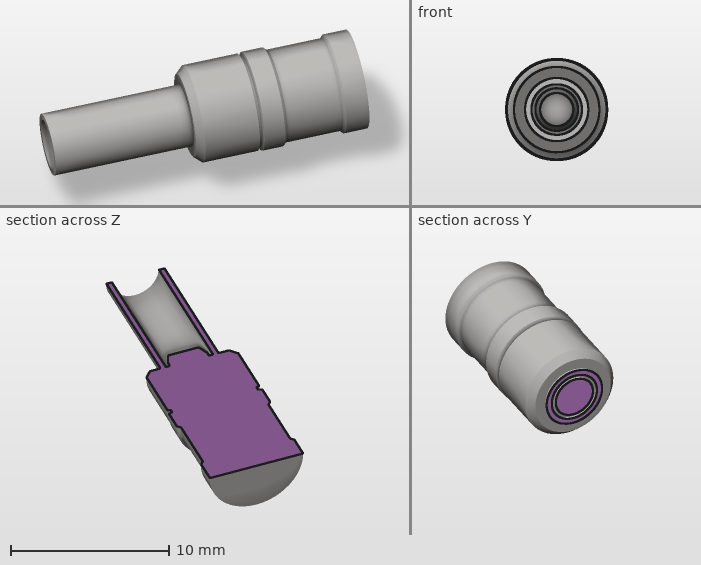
import cadquery as cq


total_length = 20.2
tube_length = 9.0
body_length = total_length - tube_length

collar_radius = 3.2
neck_radius = 3.0
groove_radius = 2.95
sleeve_radius = 3.15
nose_radius = 2.7
tube_radius = 2.0
bore_radius = 1.6
pin_radius = 1.35
pin_tip_radius = 1.05

neck_ramp_length = 0.2
groove_ramp_length = 0.1
nose_chamfer_length = 0.5
pin_taper_length = 0.7

rear_collar_width = 1.5
neck_start = rear_collar_width + neck_ramp_length
middle_collar_start = 5.5
neck_end = middle_collar_start - neck_ramp_length
middle_collar_end = 6.85
groove_start = middle_collar_end + groove_ramp_length
sleeve_start = 7.15
nose_chamfer_start = body_length - nose_chamfer_length

pin_length = 1.0


def make_body():
    """Revolve the stepped outer profile of the body and its tube about Y."""
    outline = [
        (0, 0),
        (collar_radius, 0),
        (collar_radius, -rear_collar_width),
        (neck_radius, -neck_start),
        (neck_radius, -neck_end),
        (collar_radius, -middle_collar_start),
        (collar_radius, -middle_collar_end),
        (groove_radius, -groove_start),
        (groove_radius, -sleeve_start),
        (sleeve_radius, -sleeve_start),
        (sleeve_radius, -nose_chamfer_start),
        (nose_radius, -body_length),
        (tube_radius, -body_length),
        (tube_radius, -total_length),
        (0, -total_length),
    ]
    return cq.Workplane("XY").polyline(outline).close().revolve(360, (0, 0), (0, 1))


def front_facing_plane(distance):
    """Workplane facing -Y at the given distance from the rear face."""
    return cq.Workplane("XZ", origin=(0, -distance, 0))


def make_bore():
    """Blind bore running the full length of the tube."""
    return front_facing_plane(body_length).circle(bore_radius).extrude(tube_length)


def make_pin():
    """Pin standing on the bore floor, tapered to a flat tip."""
    pin = front_facing_plane(body_length).circle(pin_radius).extrude(pin_length)
    return pin.faces("<Y").chamfer(pin_taper_length, pin_radius - pin_tip_radius)


result = make_body().cut(make_bore()).union(make_pin())